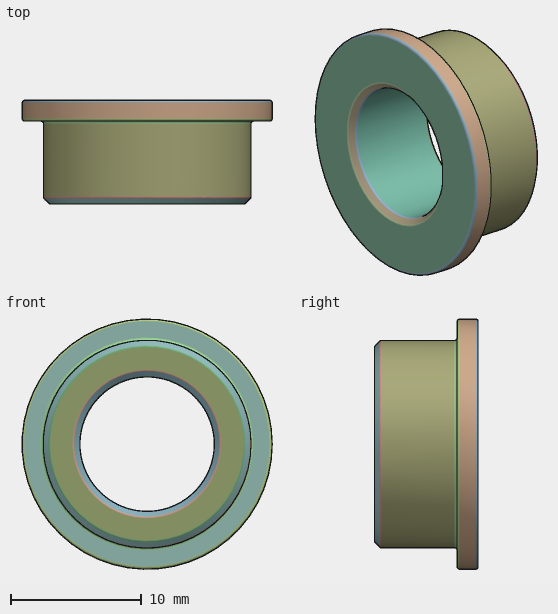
import cadquery as cq

flange_radius = 9.58
body_radius = 7.95
bore_radius = 5.13
length = 7.95
flange_thickness = 1.6

rim_chamfer = 0.48
edge_radius = 0.2

nose_y = -length / 2
flange_back_y = length / 2
flange_front_y = flange_back_y - flange_thickness


def revolved_bushing():
    """Revolve the half section, drawn as (radius, axial position), about Y."""
    section = (
        cq.Workplane("XY")
        .moveTo(bore_radius, nose_y + rim_chamfer)
        .lineTo(bore_radius + rim_chamfer, nose_y)
        .lineTo(body_radius - rim_chamfer, nose_y)
        .lineTo(body_radius, nose_y + rim_chamfer)
        .lineTo(body_radius, flange_front_y)
        .lineTo(flange_radius, flange_front_y)
        .lineTo(flange_radius, flange_back_y)
        .lineTo(bore_radius + rim_chamfer, flange_back_y)
        .lineTo(bore_radius, flange_back_y - rim_chamfer)
        .close()
    )
    return section.revolve(360, (0, 0, 0), (0, 1, 0))


result = revolved_bushing().edges("%CIRCLE").fillet(edge_radius)